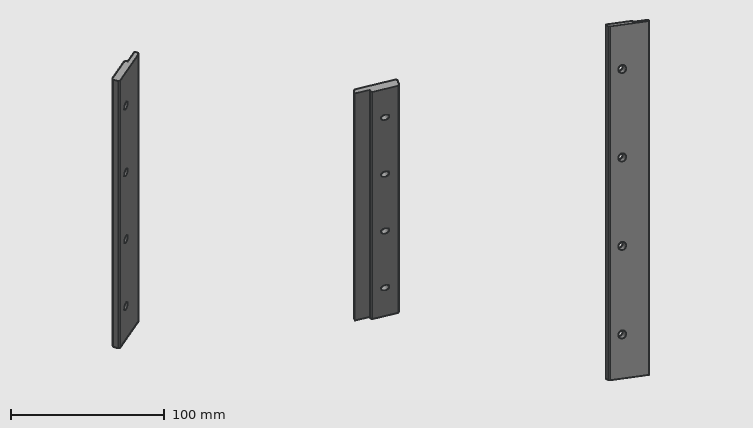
import cadquery as cq

thickness = 5.5
width = 29.8
length = 240.0

lip_width = 10.0
lip_thickness = 3.4
edge_chamfer = 1.0

hole_diameter = 5.5
hole_edge_distance = 9.8
hole_count = 4
hole_pitch = length / hole_count

half_thickness = thickness / 2
half_width = width / 2
step_x = half_thickness - lip_thickness
step_y = half_width - lip_width


def stepped_bar():
    """Extrude the stepped section along Z, with every outer corner but the lip's -X one chamfered."""
    section = [
        (-half_thickness + edge_chamfer, -half_width),
        (half_thickness - edge_chamfer, -half_width),
        (half_thickness, -half_width + edge_chamfer),
        (half_thickness, half_width - edge_chamfer),
        (half_thickness - edge_chamfer, half_width),
        (step_x, half_width),
        (step_x, step_y),
        (-half_thickness + edge_chamfer, step_y),
        (-half_thickness, step_y - edge_chamfer),
        (-half_thickness, -half_width + edge_chamfer),
    ]
    bar = cq.Workplane("XY").polyline(section).close().extrude(length)
    return bar.translate((0, 0, -length / 2))


def hole_cutters():
    """Cylinders through the thickness, evenly spaced along Z."""
    hole_y = -half_width + hole_edge_distance
    return (
        cq.Workplane("YZ", origin=(0, hole_y, 0))
        .rarray(2.5, hole_pitch, 1, hole_count)
        .circle(hole_diameter / 2)
        .extrude(thickness, both=True)
    )


result = stepped_bar().cut(hole_cutters())